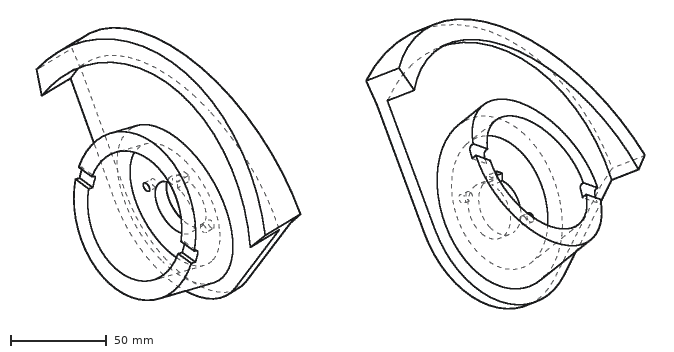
import cadquery as cq
import math

overall_width = 177.5
plate_thickness = 8.0
fan_radius = 101.1
hub_radius = 53.2
rim_inner_radius = 89.0
rim_inner_half_width = 81.0

tilt = math.radians(16.9)
face_distance = 38.0
ring_outer_radius = 45.0
ring_inner_radius = 34.8

groove_width = 7.5
groove_rise = 0.5
groove_depth = 3.0
groove_fillet = 2.0

bore_radius = 15.3
keyway_width = 3.9
keyway_top = 19.3
pin_radius = 2.5
pin_offset = 22.0
pin_depth = 5.3

reach = 2 * overall_width

half_width = overall_width / 2
rim_corner_z = math.sqrt(fan_radius**2 - half_width**2)
rim_inner_z = math.sqrt(rim_inner_radius**2 - rim_inner_half_width**2)

flank_corner_distance = math.hypot(rim_inner_half_width, rim_inner_z)
tangent_angle = math.atan2(rim_inner_z, rim_inner_half_width) - math.acos(hub_radius / flank_corner_distance)
tangent_x = hub_radius * math.cos(tangent_angle)
tangent_z = hub_radius * math.sin(tangent_angle)

face_normal = (0, -math.cos(tilt), math.sin(tilt))
face_origin = tuple(face_distance * component for component in face_normal)
face_plane = cq.Plane(origin=face_origin, xDir=(1, 0, 0), normal=face_normal)


def make_plate():
    return (
        cq.Workplane("XZ")
        .moveTo(-half_width, rim_corner_z)
        .threePointArc((0, fan_radius), (half_width, rim_corner_z))
        .lineTo(rim_inner_half_width, rim_inner_z)
        .lineTo(tangent_x, tangent_z)
        .threePointArc((0, -hub_radius), (-tangent_x, tangent_z))
        .lineTo(-rim_inner_half_width, rim_inner_z)
        .close()
        .extrude(plate_thickness)
    )


def make_rim():
    """Arched wall along the fan edge, sliced off by the sloping face."""
    wall = (
        cq.Workplane("XZ")
        .moveTo(-half_width, rim_corner_z)
        .threePointArc((0, fan_radius), (half_width, rim_corner_z))
        .lineTo(rim_inner_half_width, rim_inner_z)
        .threePointArc((0, rim_inner_radius), (-rim_inner_half_width, rim_inner_z))
        .close()
        .extrude(face_distance)
    )
    above_face = cq.Workplane(face_plane).rect(reach, reach).extrude(reach)
    return wall.cut(above_face)


def tilted_cylinder(radius):
    """Cylinder running back from the sloping face, trimmed at the front of the plate."""
    cylinder = cq.Workplane(face_plane).circle(radius).extrude(-reach)
    behind_plate_front = (
        cq.Workplane("XZ", origin=(0, -plate_thickness, 0)).rect(2 * reach, 2 * reach).extrude(-2 * reach)
    )
    return cylinder.cut(behind_plate_front)


def make_groove():
    """Groove along X with a rounded upper corner and a square lower one."""
    groove = (
        cq.Workplane(face_plane)
        .center(0, groove_rise)
        .rect(overall_width, groove_width)
        .extrude(groove_depth, both=True)
    )
    upper_floor_edge = cq.selectors.NearestToPointSelector(
        face_plane.toWorldCoords((0, groove_rise + groove_width / 2, -groove_depth)).toTuple()
    )
    return groove.edges(upper_floor_edge).fillet(groove_fillet)


def make_bore():
    bore = cq.Workplane("XZ").circle(bore_radius).extrude(plate_thickness)
    keyway = (
        cq.Workplane("XZ")
        .rect(keyway_width, keyway_top, centered=(True, False))
        .extrude(plate_thickness)
    )
    return bore.union(keyway)


def make_pin_holes():
    return (
        cq.Workplane("XZ", origin=(0, -plate_thickness, 0))
        .pushPoints([(-pin_offset, 0), (pin_offset, 0)])
        .circle(pin_radius)
        .extrude(-pin_depth)
    )


ring = tilted_cylinder(ring_outer_radius).cut(tilted_cylinder(ring_inner_radius)).cut(make_groove())

result = make_plate().union(make_rim()).union(ring).cut(make_bore()).cut(make_pin_holes())